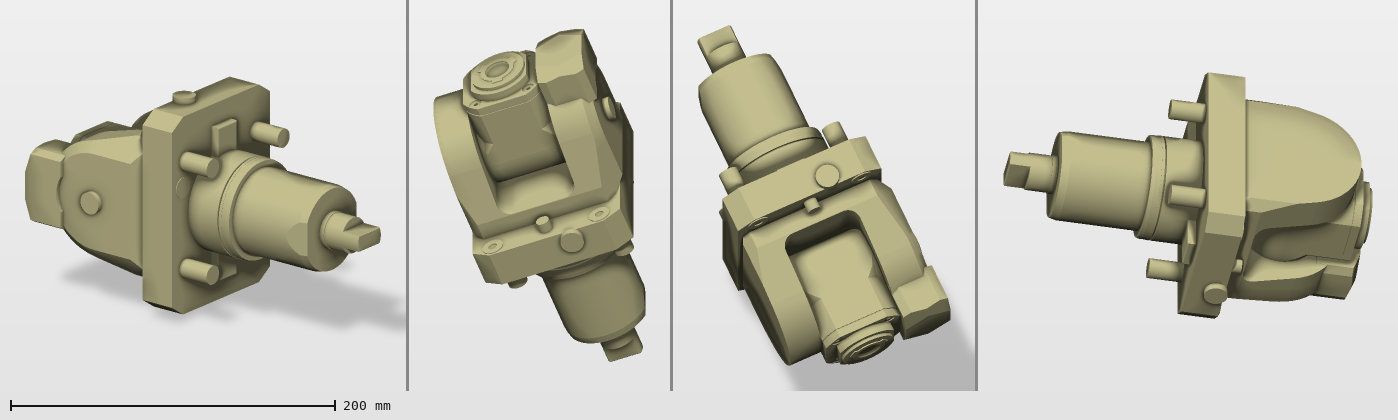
import cadquery as cq
import math


flange_thickness = 23.2
flange_width = 97.2
flange_height = 129.5
overall_height = 138.0
flange_chamfer_y = 11.1
flange_chamfer_z = 7.5
flange_front = -flange_thickness

plug_dia = 14.5
plug_height = (overall_height - flange_height) / 2
plug_x = -17.3
plug_y = -14.8
pin_dia = 8.5
pin_length = 7.0
pin_z = 55.2
screw_head_dia = 13.5
screw_head_height = 0.7
screw_socket_dia = 5.7
screw_socket_depth = 0.7
screw_y = 35.0
screw_z = 57.0
stud_dia = 12.3
stud_length = 21.4
stud_offset = 35.0
key_length = 5.2
key_width = 19.0
key_bottom = 29.5
key_top = 50.5
key_fillet = 1.1
seal_dia = 13.6
seal_height = 0.5
seal_y = -38.0
seal_z = 18.5

collar_radius = 32.5
collar_step = 25.7
collar_rear_radius = 32.3
collar_end = 31.5
collar_chamfer_start = 29.3
collar_end_radius = 31.8
groove_radius = 30.7
groove_start = 22.7
groove_end = 23.9
shank_radius = 27.7
shank_end = 87.2
shank_chamfer_start = 82.2
shank_tip_radius = 26.5
side_flat_start = 73.8
side_flat_end_y = 24.3
neck_radius = 12.0
neck_end = 90.5
drive_radius = 11.5
tang_start = 104.3
tang_end = 117.0
tang_thickness = 10.5
tang_chamfer = 0.5

pivot_x = -58.8
housing_half_height = 45.7
housing_nose_radius = 37.7
housing_flat_start = -34.5
housing_front_y = -52.5
housing_back_y = 47.0
front_face_half_height = 31.4
front_bevel_y = -40.7
back_bevel = 6.0
front_root_chamfer = 6.5
back_root_chamfer_x = 3.5
back_root_chamfer_y = 1.5
slot_width = 50.7
slot_bottom = -35.0
slot_fillet = 8.2
pivot_plug_dia = 14.0
pivot_plug_end_y = -56.3

head_half_height = 24.0
head_front = -96.3
head_corner_radius = 28.9
head_runout_start = -74.3
head_runout_middle = -68.2
head_runout_middle_radius = 32.3
head_runout_end_radius = 35.2
joint_width = 0.7
joint_depth = 0.7
plate_front = -102.0
plate_screw_offset = 17.3
plate_screw_dia = 7.7
plate_screw_recess = 0.7
plate_socket_dia = 2.7
plate_socket_depth = 1.8

nose_disc_radius = 21.0
nose_disc_half_width = 18.2
nose_disc_front = -107.5
nose_ring_radius = 17.3
nose_ring_front = -109.5
nut_front = -110.2
nut_radius = 11.0
nut_tab_count = 3
nut_tab_width = 6.5
nut_tab_reach = 13.0
bore_dia = 16.0
bore_depth = 1.8
bore_floor_chamfer = 1.1

cap_front = -110.2
cap_back = -82.5
cap_back_bulge = 3.2
cap_back_bulge_half_height = 11.4
cap_inner_y = -25.2
cap_outer_y = -55.5
cap_half_height = 24.3
cap_chamfer_y = 5.2
cap_chamfer_z = 2.7
cap_ridge_z = 16.8
cap_corner_z = 9.3
cap_bevel_angle = 20.7


def x_cylinder(start, end, radius, y=0, z=0):
    """Cylinder along X from start to end."""
    return cq.Workplane("YZ", origin=(start, y, z)).circle(radius).extrude(end - start)


def span_box(x_range, y_range, z_range):
    """Box given by its limits along each axis."""
    sizes = [limits[1] - limits[0] for limits in (x_range, y_range, z_range)]
    corner = (x_range[0], y_range[0], z_range[0])
    return cq.Workplane("XY").box(*sizes, centered=False).translate(corner)


def make_flange():
    half_y = flange_width / 2
    half_z = flange_height / 2
    inner_y = half_y - flange_chamfer_y
    inner_z = half_z - flange_chamfer_z
    outline = [
        (inner_y, half_z), (half_y, inner_z), (half_y, -inner_z), (inner_y, -half_z),
        (-inner_y, -half_z), (-half_y, -inner_z), (-half_y, inner_z), (-inner_y, half_z),
    ]
    flange = cq.Workplane("YZ", origin=(flange_front, 0, 0)).polyline(outline).close()
    flange = flange.extrude(flange_thickness)

    plug = cq.Workplane("XY", origin=(plug_x, plug_y, half_z)).circle(plug_dia / 2).extrude(plug_height)
    flange = flange.union(plug).union(plug.mirror("XY"))

    for side_z in (1, -1):
        flange = flange.union(x_cylinder(flange_front - pin_length, 0, pin_dia / 2, 0, side_z * pin_z))
        key = span_box((0, key_length), (-key_width / 2, key_width / 2), (key_bottom, key_top))
        key = key.faces(">X").edges().fillet(key_fillet)
        flange = flange.union(key if side_z > 0 else key.mirror("XY"))
        for side_y in (1, -1):
            y, z = side_y * screw_y, side_z * screw_z
            head_top = flange_front - screw_head_height
            flange = flange.union(x_cylinder(head_top, 0, screw_head_dia / 2, y, z))
            socket_floor = head_top + screw_socket_depth
            flange = flange.cut(x_cylinder(head_top, socket_floor, screw_socket_dia / 2, y, z))
            stud = x_cylinder(0, stud_length, stud_dia / 2, side_y * stud_offset, side_z * stud_offset)
            flange = flange.union(stud)
    return flange.union(x_cylinder(0, seal_height, seal_dia / 2, seal_y, seal_z))


def make_shank():
    profile = [
        (0, 0), (0, collar_radius), (groove_start, collar_radius),
        (groove_start, groove_radius), (groove_end, groove_radius),
        (groove_end, collar_radius), (collar_step, collar_radius),
        (collar_step, collar_rear_radius), (collar_chamfer_start, collar_rear_radius),
        (collar_end, collar_end_radius), (collar_end, shank_radius),
        (shank_chamfer_start, shank_radius), (shank_end, shank_tip_radius), (shank_end, 0),
    ]
    shank = cq.Workplane("XY").polyline(profile).close().revolve(360, (0, 0, 0), (1, 0, 0))

    flat = cq.Workplane("XY").polyline([
        (side_flat_start, shank_radius), (shank_end, side_flat_end_y), (shank_end, shank_radius),
    ]).close().extrude(shank_radius, both=True)
    shank = shank.cut(flat).cut(flat.mirror("XZ"))

    drive = x_cylinder(tang_start, tang_end, drive_radius).faces(">X").chamfer(tang_chamfer)
    tang_space = span_box(
        (tang_start, tang_end), (-drive_radius, drive_radius), (-tang_thickness / 2, tang_thickness / 2)
    )
    drive = drive.intersect(tang_space.faces(">X").edges("|Y").chamfer(tang_chamfer))
    drive = drive.union(x_cylinder(shank_end, tang_start, drive_radius))
    drive = drive.union(x_cylinder(shank_end, neck_end, neck_radius))
    return shank.union(drive)


def make_housing():
    run = housing_flat_start - pivot_x
    corner_distance = math.hypot(run, housing_half_height)
    tangent_angle = math.atan2(housing_half_height, run) + math.acos(housing_nose_radius / corner_distance)
    tangent_x = pivot_x + housing_nose_radius * math.cos(tangent_angle)
    tangent_z = housing_nose_radius * math.sin(tangent_angle)
    housing = (
        cq.Workplane("XZ", origin=(0, housing_back_y, 0))
        .moveTo(flange_front, housing_half_height)
        .lineTo(housing_flat_start, housing_half_height)
        .lineTo(tangent_x, tangent_z)
        .threePointArc((pivot_x - housing_nose_radius, 0), (tangent_x, -tangent_z))
        .lineTo(housing_flat_start, -housing_half_height)
        .lineTo(flange_front, -housing_half_height)
        .close()
        .extrude(housing_back_y - housing_front_y)
    )

    bevel_back_y = housing_back_y - back_bevel
    back_half_height = housing_half_height - back_bevel
    upper = [
        (housing_front_y, front_face_half_height), (front_bevel_y, housing_half_height),
        (bevel_back_y, housing_half_height), (housing_back_y, back_half_height),
    ]
    lower = [(y, -z) for y, z in reversed(upper)]
    envelope = cq.Workplane("YZ", origin=(pivot_x, 0, 0)).polyline(upper + lower).close()
    envelope = envelope.extrude(flange_front - pivot_x)
    half_profile = [(housing_front_y, 0)] + upper + [(housing_back_y, 0)]
    turned = cq.Workplane("YZ", origin=(pivot_x, 0, 0)).polyline(half_profile).close()
    housing = housing.intersect(envelope.union(turned.revolve(360, (0, 0, 0), (1, 0, 0))))

    root_chamfers = (
        [
            (flange_front - front_root_chamfer, housing_front_y), (flange_front, housing_front_y),
            (flange_front, housing_front_y + front_root_chamfer),
        ],
        [
            (flange_front - back_root_chamfer_x, housing_back_y), (flange_front, housing_back_y),
            (flange_front, housing_back_y - back_root_chamfer_y),
        ],
    )
    for corner in root_chamfers:
        wedge = cq.Workplane("XY").polyline(corner).close()
        housing = housing.cut(wedge.extrude(housing_half_height, both=True))

    slot = span_box(
        (pivot_x - housing_nose_radius, slot_bottom),
        (-slot_width / 2, slot_width / 2),
        (-housing_half_height, housing_half_height),
    )
    housing = housing.cut(slot.edges("|Z and >X").fillet(slot_fillet))

    plug = cq.Workplane("XZ", origin=(pivot_x, housing_front_y, 0)).circle(pivot_plug_dia / 2)
    return housing.union(plug.extrude(housing_front_y - pivot_plug_end_y))


def make_head():
    half_y = slot_width / 2
    block = span_box((plate_front, pivot_x), (-half_y, half_y), (-head_half_height, head_half_height))

    corner_profile = [
        (plate_front, 0), (plate_front, head_corner_radius), (head_runout_start, head_corner_radius),
        (head_runout_middle, head_runout_middle_radius), (pivot_x, head_runout_end_radius), (pivot_x, 0),
    ]
    corners = cq.Workplane("XY").polyline(corner_profile).close().revolve(360, (0, 0, 0), (1, 0, 0))
    head = block.intersect(corners)

    hub = cq.Workplane("XZ", origin=(pivot_x, half_y, 0)).circle(head_half_height).extrude(slot_width)
    head = head.union(hub)

    joint_space = (head_front - joint_width, head_front)
    joint_ring = span_box(joint_space, (-half_y, half_y), (-head_half_height, head_half_height))
    core_y = half_y - joint_depth
    core_z = head_half_height - joint_depth
    joint_core = span_box(joint_space, (-core_y, core_y), (-core_z, core_z))
    joint_core = joint_core.intersect(x_cylinder(*joint_space, head_corner_radius - joint_depth))
    head = head.cut(joint_ring.cut(joint_core))

    for side_y in (1, -1):
        for side_z in (1, -1):
            y, z = side_y * plate_screw_offset, side_z * plate_screw_offset
            recess = x_cylinder(plate_front, plate_front + plate_screw_recess, plate_screw_dia / 2, y, z)
            socket = x_cylinder(plate_front, plate_front + plate_socket_depth, plate_socket_dia / 2, y, z)
            head = head.cut(recess).cut(socket)
    return head


def make_nose():
    nose = x_cylinder(nose_disc_front, plate_front, nose_disc_radius)
    nose = nose.intersect(span_box(
        (nose_disc_front, plate_front),
        (-nose_disc_half_width, nose_disc_half_width),
        (-nose_disc_radius, nose_disc_radius),
    ))
    nose = nose.union(x_cylinder(nose_ring_front, plate_front, nose_ring_radius))

    nose = nose.union(x_cylinder(nut_front, plate_front, nut_radius))
    tab = span_box((nut_front, plate_front), (-nut_tab_width / 2, nut_tab_width / 2), (-nut_tab_reach, 0))
    for index in range(nut_tab_count):
        nose = nose.union(tab.rotate((0, 0, 0), (1, 0, 0), index * 360 / nut_tab_count))
    bore = x_cylinder(nut_front, nut_front + bore_depth, bore_dia / 2)
    return nose.cut(bore.faces(">X").chamfer(bore_floor_chamfer))


def make_cap():
    middle_y = (cap_inner_y + cap_outer_y) / 2
    half_y = (cap_inner_y - cap_outer_y) / 2

    cap = (
        cq.Workplane("XZ", origin=(0, cap_inner_y, 0))
        .moveTo(cap_back, cap_half_height)
        .lineTo(cap_front, cap_half_height)
        .lineTo(cap_front, -cap_half_height)
        .lineTo(cap_back, -cap_half_height)
        .lineTo(cap_back, -cap_back_bulge_half_height)
        .threePointArc((cap_back - cap_back_bulge, 0), (cap_back, cap_back_bulge_half_height))
        .close()
        .extrude(cap_inner_y - cap_outer_y)
    )

    flat_y = half_y - cap_chamfer_y
    flat_z = cap_half_height - cap_chamfer_z
    section = [
        (flat_y, cap_half_height), (half_y, flat_z), (half_y, -flat_z), (flat_y, -cap_half_height),
        (-flat_y, -cap_half_height), (-half_y, -flat_z), (-half_y, flat_z), (-flat_y, cap_half_height),
    ]
    bar = cq.Workplane("YZ", origin=(cap_front, middle_y, 0)).polyline(section).close()
    cap = cap.intersect(bar.extrude(cap_back - cap_front))

    facet_turn = math.degrees(math.atan2(cap_ridge_z - cap_corner_z, half_y))
    facet_distance = cap_ridge_z * math.cos(math.radians(facet_turn))
    facet_rise = cap_half_height
    facet_depth = facet_rise * math.tan(math.radians(cap_bevel_angle))
    wedge = (
        cq.Workplane("XZ")
        .polyline([(0, 0), (facet_depth, facet_rise), (0, facet_rise)])
        .close()
        .extrude(2 * cap_half_height, both=True)
        .translate((cap_front, 0, facet_distance))
    )
    for turn in (facet_turn, -facet_turn, 180 + facet_turn, 180 - facet_turn):
        facet = wedge.rotate((0, 0, 0), (1, 0, 0), turn)
        cap = cap.cut(facet.translate((0, middle_y, 0)))
    return cap


result = make_flange()
for piece in (make_shank(), make_housing(), make_head(), make_nose(), make_cap()):
    result = result.union(piece)